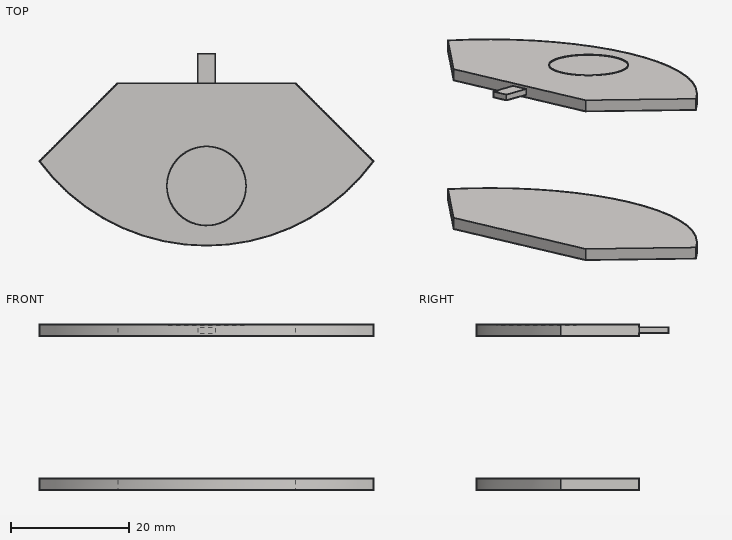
import cadquery as cq

plate_width = 56.5
plate_depth = 27.5
plate_thickness = 2.0
back_edge_width = 30.05
flank_run = (plate_width - back_edge_width) / 2

overall_height = 28.0
upper_plate_z = overall_height - plate_thickness

tab_length = 5.0
tab_width = 3.0
tab_thickness = 1.0

recess_diameter = 13.4
recess_depth = 0.1
recess_center_y = 10.1


def make_plate(base_z):
    """Flat plate with the middle of its bowed front edge at the origin in X and Y."""
    corner_y = plate_depth - flank_run
    return (
        cq.Workplane("XY", origin=(0, 0, base_z))
        .moveTo(-back_edge_width / 2, plate_depth)
        .lineTo(-plate_width / 2, corner_y)
        .threePointArc((0, 0), (plate_width / 2, corner_y))
        .lineTo(back_edge_width / 2, plate_depth)
        .close()
        .extrude(plate_thickness)
    )


def make_tab():
    """Thin tab centred in the upper plate's thickness, starting at its back edge."""
    tab_z = upper_plate_z + (plate_thickness - tab_thickness) / 2
    return (
        cq.Workplane("XY", origin=(0, plate_depth, tab_z))
        .box(tab_width, tab_length, tab_thickness, centered=(True, False, False))
    )


def make_recess():
    """Disc of material removed from the upper plate's top face."""
    return (
        cq.Workplane("XY", origin=(0, recess_center_y, overall_height - recess_depth))
        .circle(recess_diameter / 2)
        .extrude(recess_depth)
    )


lower_plate = make_plate(0)
upper_plate = make_plate(upper_plate_z).union(make_tab()).cut(make_recess())

result = cq.Compound.makeCompound([lower_plate.val(), upper_plate.val()])